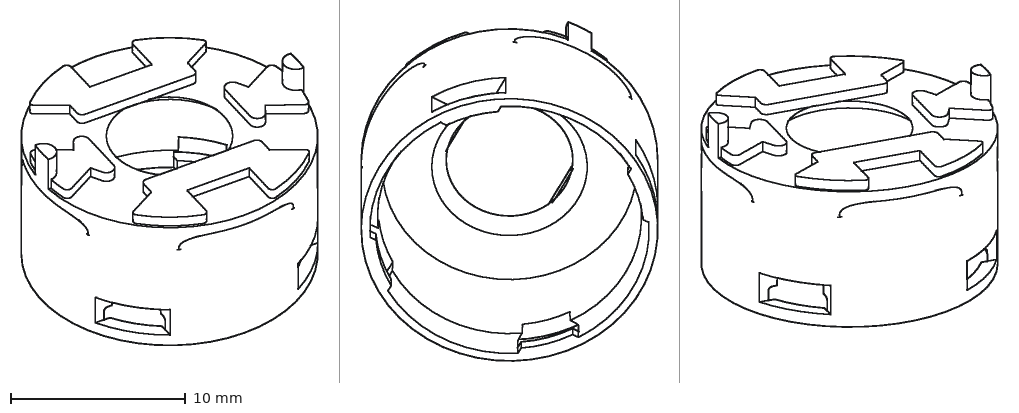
import cadquery as cq
import math

outer_radius = 8.5
body_height = 8.58
bore_radius = 3.62

overhang = 1.7
reach = outer_radius + overhang

ceiling_z = 7.75
ceiling_cavity_radius = 7.31
wall_cavity_radius = 7.56
rim_radius = 8.0
rim_top_z = 1.6
rim_fillet = 0.22

window_inset = 4.23
window_bottom_z = 0.76
window_top_z = 2.6
sill_radius = 7.68

scallop_radius = 7.62
scallop_z = 6.97
scallop_angle = math.radians(10)
cove_radius = 0.8
scallop_edge_fillet = 0.4

pad_height = 0.63
pad_radius = 8.33
flare_slope = math.tan(math.radians(30))

c_inner_x = 3.48
c_notch_x = 5.55
c_half_length = 3.91
c_notch_half_width = 2.05
ear_root_x = 4.65
c_corner_fillet = 0.34
c_notch_fillet = 0.27
ear_tip_fillet = 0.22

waist_half_width = 0.97
waist_y = 5.8
foot_y = 4.52
foot_fillet = 0.48
dovetail_fillet = 0.3

pin_radius = 0.76
pin_center_y = 8.36
pin_top_z = 10.75


def disc(radius, bottom_z, height):
    return cq.Workplane("XY").workplane(offset=bottom_z).circle(radius).extrude(height)


def make_cavity():
    """Revolved cavity: round-shouldered rim, tapered wall and 45 degree bore flare."""
    fillet_shift = rim_fillet * math.sqrt(0.5)
    fillet_mid = (
        rim_radius - rim_fillet + fillet_shift,
        rim_top_z - rim_fillet + fillet_shift,
    )
    flare_radius = bore_radius + body_height - ceiling_z
    return (
        cq.Workplane("XZ")
        .moveTo(0, 0)
        .lineTo(rim_radius, 0)
        .lineTo(rim_radius, rim_top_z - rim_fillet)
        .threePointArc(fillet_mid, (rim_radius - rim_fillet, rim_top_z))
        .lineTo(wall_cavity_radius, rim_top_z)
        .lineTo(ceiling_cavity_radius, ceiling_z)
        .lineTo(flare_radius, ceiling_z)
        .lineTo(bore_radius, body_height)
        .lineTo(0, body_height)
        .close()
        .revolve(360, (0, 0, 0), (0, 1, 0))
    )


def sweep_across(profile):
    """Extrude a closed XZ profile both ways along Y, past the whole body."""
    return profile.extrude(outer_radius, both=True)


def make_scallop_flat():
    """Cutter for the leaning flat of the +X scallop."""
    rise = (reach - scallop_radius) / math.tan(scallop_angle)
    return sweep_across(
        cq.Workplane("XZ")
        .moveTo(reach, scallop_z - rise)
        .lineTo(scallop_radius, scallop_z)
        .lineTo(reach, scallop_z)
        .close()
    )


def make_scallop_cove():
    """Cutter for the cove of the +X scallop, tangent to its flat and level at the top."""
    center_x = scallop_radius + cove_radius * math.cos(scallop_angle)
    center_z = scallop_z + cove_radius * math.sin(scallop_angle)
    mid_angle = (1.5 * math.pi + scallop_angle) / 2
    cove_mid = (
        center_x + cove_radius * math.cos(mid_angle),
        center_z + cove_radius * math.sin(mid_angle),
    )
    cove_top_z = center_z + cove_radius
    return sweep_across(
        cq.Workplane("XZ")
        .moveTo(reach, scallop_z)
        .lineTo(scallop_radius, scallop_z)
        .threePointArc(cove_mid, (center_x, cove_top_z))
        .lineTo(reach, cove_top_z)
        .close()
    )


def make_c_pad():
    """C-shaped pad on the +X side, with a pointed ear at each end."""
    ear_end_y = c_half_length + (reach - ear_root_x) / flare_slope
    half = [
        (c_notch_x, c_notch_half_width),
        (reach, c_notch_half_width),
        (reach, ear_end_y),
        (ear_root_x, c_half_length),
        (c_inner_x, c_half_length),
    ]
    other_half = [(x, -y) for x, y in reversed(half)]
    pad = cq.Workplane("XY").workplane(offset=body_height).polyline(half + other_half).close()
    pad = pad.extrude(pad_height).intersect(disc(pad_radius, body_height, pad_height))
    pad = pad.edges("|Z").edges("<X").fillet(c_corner_fillet)
    pad = pad.edges("|Z").edges(">X").fillet(c_notch_fillet)
    return pad.edges("|Z").edges(">Y or <Y").fillet(ear_tip_fillet)


def make_dovetail_pad():
    """Dovetail pad on the +Y side, with a round-ended foot facing the bore."""
    foot_tip_x = waist_half_width + (waist_y - foot_y) / flare_slope
    flare_x = waist_half_width + (reach - waist_y) * flare_slope
    half = [(foot_tip_x, foot_y), (waist_half_width, waist_y), (flare_x, reach)]
    other_half = [(-x, y) for x, y in reversed(half)]
    pad = cq.Workplane("XY").workplane(offset=body_height).polyline(half + other_half).close()
    pad = pad.extrude(pad_height).intersect(disc(pad_radius, body_height, pad_height))
    pad = pad.edges("|Z").edges(">X or <X").fillet(foot_fillet)
    return pad.edges("|Z").edges(">Y").fillet(dovetail_fillet)


def make_pin():
    """Pin on the +Y side, trimmed flush with the outer wall."""
    height = pin_top_z - body_height
    pin = disc(pin_radius, body_height, height).translate((0, pin_center_y, 0))
    return pin.intersect(disc(outer_radius, body_height, height))


def make_corner_block(height):
    """Block over the (-X, -Y) corner, with two sides at the window inset."""
    return (
        cq.Workplane("XY")
        .rect(-outer_radius + window_inset, -outer_radius + window_inset, centered=False)
        .extrude(height)
        .translate((-window_inset, -window_inset, 0))
    )


def make_window():
    window = make_corner_block(window_top_z - window_bottom_z)
    return window.translate((0, 0, window_bottom_z))


def make_sill():
    """Tab under a window, reaching inward past the rim wall."""
    overlap_radius = (rim_radius + outer_radius) / 2
    ring = disc(overlap_radius, 0, window_bottom_z).cut(disc(sill_radius, 0, window_bottom_z))
    return make_corner_block(window_bottom_z).intersect(ring)


def turned(solid, angle):
    return solid.rotate((0, 0, 0), (0, 0, 1), angle)


quarter_turns = (0, 90, 180, 270)
half_turns = (0, 180)

result = disc(outer_radius, 0, body_height)

for angle in quarter_turns:
    result = result.cut(turned(make_scallop_flat(), angle))

result = result.edges("%ELLIPSE").fillet(scallop_edge_fillet)

for angle in quarter_turns:
    result = result.cut(turned(make_scallop_cove(), angle))

result = result.cut(make_cavity())

for angle in quarter_turns:
    result = result.cut(turned(make_window(), angle))
    result = result.union(turned(make_sill(), angle))

for angle in half_turns:
    result = result.union(turned(make_c_pad(), angle))
    result = result.union(turned(make_dovetail_pad(), angle))
    result = result.union(turned(make_pin(), angle))